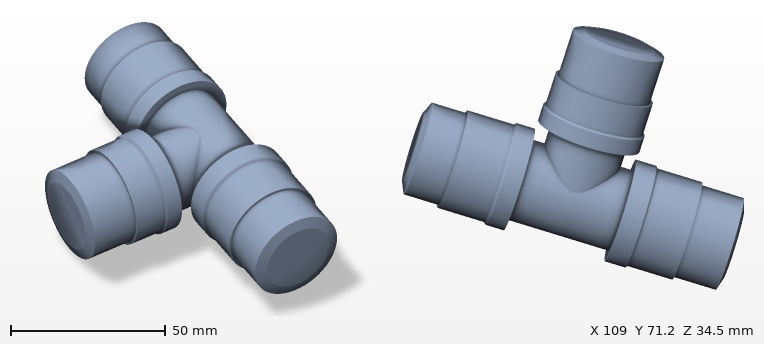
import cadquery as cq

RUN_LENGTH = 109.0
LEFT_LENGTH = 53.4
RIGHT_LENGTH = RUN_LENGTH - LEFT_LENGTH
BRANCH_LENGTH = 54.0

COLLAR_DIAMETER = 34.5
COLLAR_RADIUS = COLLAR_DIAMETER / 2
SLEEVE_RADIUS = 16.6
SPIGOT_RADIUS = 15.6
END_FACE_RADIUS = 11.8

RUN_NECK_RADIUS = 13.6
BRANCH_NECK_RADIUS = 13.0

RUN_COLLAR_START = 17.2
LEFT_SLEEVE_START = 24.2
RIGHT_SLEEVE_START = 24.7
RUN_SLEEVE_END = 39.9
BRANCH_COLLAR_START = 20.7
BRANCH_SLEEVE_START = 26.7
BRANCH_SLEEVE_END = 37.3

LEFT_COLLAR_TAPER = 1.0
COLLAR_TAPER = 0.7
LEFT_END_TAPER = 1.7
END_TAPER = 1.2


def make_leg(neck_radius, collar_start, sleeve_start, sleeve_end, length, collar_taper, end_taper):
    """Solid stepped leg revolved about +X, from the origin to its flat end face."""
    profile = (
        cq.Workplane("XY")
        .moveTo(0, 0)
        .lineTo(0, neck_radius)
        .lineTo(collar_start, neck_radius)
        .lineTo(collar_start, COLLAR_RADIUS)
        .lineTo(sleeve_start - collar_taper, COLLAR_RADIUS)
        .lineTo(sleeve_start, SLEEVE_RADIUS)
        .lineTo(sleeve_end, SLEEVE_RADIUS)
        .lineTo(sleeve_end, SPIGOT_RADIUS)
        .lineTo(length - end_taper, SPIGOT_RADIUS)
        .lineTo(length, END_FACE_RADIUS)
        .lineTo(length, 0)
        .close()
    )
    return profile.revolve(360, (0, 0, 0), (1, 0, 0))


def make_run_leg(sleeve_start, length, collar_taper, end_taper):
    """Half of the run, ending in a flat joint at the origin."""
    return make_leg(
        RUN_NECK_RADIUS, RUN_COLLAR_START, sleeve_start, RUN_SLEEVE_END,
        length, collar_taper, end_taper,
    )


def make_branch_leg():
    """Branch along -Y, with its inner end cut to saddle against the run necks."""
    leg = make_leg(
        BRANCH_NECK_RADIUS, BRANCH_COLLAR_START, BRANCH_SLEEVE_START, BRANCH_SLEEVE_END,
        BRANCH_LENGTH, COLLAR_TAPER, END_TAPER,
    ).rotate((0, 0, 0), (0, 0, 1), -90)
    run_neck = cq.Workplane("YZ").circle(RUN_NECK_RADIUS).extrude(RUN_COLLAR_START, both=True)
    return leg.cut(run_neck)


right_leg = make_run_leg(RIGHT_SLEEVE_START, RIGHT_LENGTH, COLLAR_TAPER, END_TAPER)
left_leg = make_run_leg(LEFT_SLEEVE_START, LEFT_LENGTH, LEFT_COLLAR_TAPER, LEFT_END_TAPER)
left_leg = left_leg.rotate((0, 0, 0), (0, 0, 1), 180)
branch_leg = make_branch_leg()

result = cq.Compound.makeCompound([
    left_leg.val(),
    right_leg.val(),
    *branch_leg.solids().vals(),
])